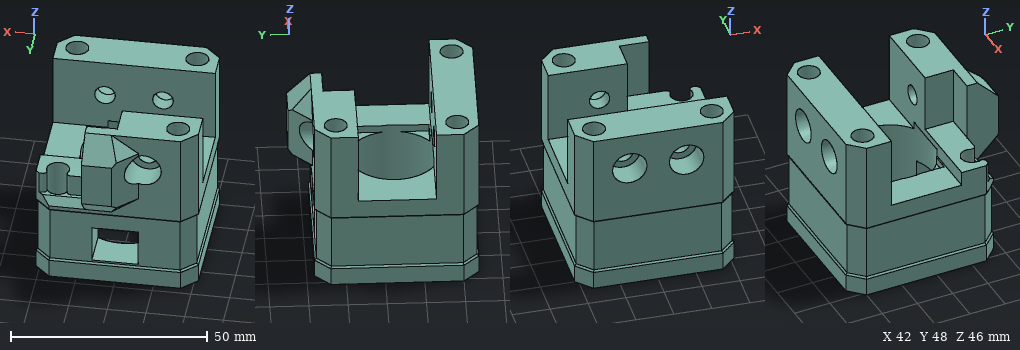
import cadquery as cq
import math

WIDTH = 42.0
HALF = WIDTH / 2
HEIGHT = 46.0
CORNER_CUT = 4.0
WAIST_INSET = 0.5
BASE_TOP = 5.45
HEAD_BOTTOM = 20.5

SLOT_WIDTH = 19.95
SLOT_FLOOR = 25.95
BORE_DIAMETER = 24.0
BORE_TOP = 28.0
RECESS_REACH = 11.75
RECESS_WIDTH = 19.1
RECESS_DEPTH = 2.0

STEP_X = -0.2
STEP_TOP = 29.9
PLATE_INNER_Y = 18.0
PLATE_END_X = 7.7
LEDGE_TOP = 24.0
LEDGE_BEVEL = 1.95
RELIEF_RADIUS = 1.0
EDGE_SEARCH_MARGIN = 0.05

BOSS_DEPTH = 6.0
BOSS_BACK_Y = HALF + BOSS_DEPTH
BOSS_BOTTOM = 22.0
BOSS_SIDE_BEVEL = 5.0

SCREW_OFFSET = 15.5
SCREW_DIAMETER = 3.3
SCREW_HEAD_DIAMETER = 5.8
SCREW_SEAT = BASE_TOP - WAIST_INSET

BEARING_X = 7.5
BEARING_Z = 36.0
BEARING_DIAMETER = 9.0
BEARING_DEPTH = 7.0
PIN_DIAMETER = 5.3

WINDOW_WIDTH = 12.0
WINDOW_BOTTOM = 6.0
WINDOW_TOP = 16.05


def box(x0, x1, y0, y1, z0, z1):
    """Box between two corners."""
    return cq.Workplane("XY").box(x1 - x0, y1 - y0, z1 - z0, centered=False).translate((x0, y0, z0))


def column(z0, z1, inset=0):
    """Square column with cut corners, every side moved inwards by the inset."""
    cut = CORNER_CUT - inset * (2 - math.sqrt(2))
    side = WIDTH - 2 * inset
    return cq.Workplane("XY").workplane(offset=z0).rect(side, side).extrude(z1 - z0).edges("|Z").chamfer(cut)


def make_body():
    base = column(0, BASE_TOP).faces(">Z").chamfer(WAIST_INSET)
    head = column(HEAD_BOTTOM, HEIGHT).faces("<Z").chamfer(WAIST_INSET)
    return base.union(column(BASE_TOP, HEAD_BOTTOM, WAIST_INSET)).union(head)


def beveled_bar(outward, along, bevel):
    """Long bar whose outer face passes through the boss apex, beveled at 45 degrees above and below."""
    face = cq.Plane(origin=(STEP_X, BOSS_BACK_Y, 0), xDir=outward, normal=along)
    profile = [
        (-WIDTH, BOSS_BOTTOM),
        (-bevel, BOSS_BOTTOM),
        (0, BOSS_BOTTOM + bevel),
        (0, HEIGHT - bevel),
        (-bevel, HEIGHT),
        (-WIDTH, HEIGHT),
    ]
    return cq.Workplane(face).polyline(profile).close().extrude(WIDTH, both=True)


def make_boss():
    rear = beveled_bar((0, 1, 0), (1, 0, 0), BOSS_DEPTH)
    slanted_side = beveled_bar((-1, 1, 0), (1, 1, 0), BOSS_SIDE_BEVEL)
    envelope = box(-HALF, PLATE_END_X, PLATE_INNER_Y, BOSS_BACK_Y, BOSS_BOTTOM, HEIGHT)
    return envelope.intersect(rear).intersect(slanted_side)


def make_slot():
    return box(-HALF, HALF, -SLOT_WIDTH / 2, SLOT_WIDTH / 2, SLOT_FLOOR, HEIGHT)


def make_bore():
    bore = cq.Workplane("XY").circle(BORE_DIAMETER / 2).extrude(BORE_TOP)
    recess = box(0, RECESS_REACH, -RECESS_WIDTH / 2, RECESS_WIDTH / 2, SLOT_FLOOR - RECESS_DEPTH, SLOT_FLOOR)
    return bore.union(recess)


def make_step():
    """Space above the lowered rear wall, leaving a thin plate behind it."""
    return box(STEP_X, HALF, SLOT_WIDTH / 2, PLATE_INNER_Y, STEP_TOP, HEIGHT)


def make_ledge():
    """Space behind the lowered rear wall, beyond the plate, with a sloping rear edge."""
    profile = [
        (PLATE_INNER_Y, HEIGHT),
        (PLATE_INNER_Y, LEDGE_TOP),
        (HALF - LEDGE_BEVEL, LEDGE_TOP),
        (HALF, LEDGE_TOP - LEDGE_BEVEL),
        (HALF, HEIGHT),
    ]
    return cq.Workplane("YZ").workplane(offset=PLATE_END_X).polyline(profile).close().extrude(HALF - PLATE_END_X)


def make_screw_holes():
    spacing = 2 * SCREW_OFFSET
    corners = cq.Workplane("XY").rect(spacing, spacing, forConstruction=True).vertices()
    shanks = corners.circle(SCREW_DIAMETER / 2).extrude(HEIGHT)
    heads = corners.circle(SCREW_HEAD_DIAMETER / 2).extrude(HEIGHT - SCREW_SEAT)
    return shanks.union(heads.translate((0, 0, SCREW_SEAT)))


def cylinder_along_y(diameter, x, y0, y1):
    plane = cq.Plane(origin=(x, y0, BEARING_Z), xDir=(1, 0, 0), normal=(0, 1, 0))
    return cq.Workplane(plane).circle(diameter / 2).extrude(y1 - y0)


def make_bearing_holes():
    """Two holes through the front wall; the -X one continues through the rear wall."""
    holes = cylinder_along_y(PIN_DIAMETER, -BEARING_X, -HALF, HALF)
    holes = holes.union(cylinder_along_y(PIN_DIAMETER, BEARING_X, -HALF, 0))
    for x in (-BEARING_X, BEARING_X):
        holes = holes.union(cylinder_along_y(BEARING_DIAMETER, x, -HALF, BEARING_DEPTH - HALF))
    return holes.union(cylinder_along_y(BEARING_DIAMETER, -BEARING_X, HALF - BEARING_DEPTH, BOSS_BACK_Y))


def make_window():
    return box(-WINDOW_WIDTH / 2, WINDOW_WIDTH / 2, 0, HALF, WINDOW_BOTTOM, WINDOW_TOP)


def round_relief(part):
    """Round the edges where the screw head clearance breaks out of the lowered rear wall."""
    reach = SCREW_HEAD_DIAMETER / 2
    around = cq.selectors.BoxSelector(
        (SCREW_OFFSET - reach, PLATE_INNER_Y - EDGE_SEARCH_MARGIN, LEDGE_TOP),
        (SCREW_OFFSET + reach, PLATE_INNER_Y + EDGE_SEARCH_MARGIN, STEP_TOP),
    )
    return part.edges("|Z").edges(around).fillet(RELIEF_RADIUS)


result = make_body().cut(make_slot()).cut(make_step()).cut(make_ledge())
result = result.union(make_boss())
result = result.cut(make_bore()).cut(make_window())
result = result.cut(make_screw_holes()).cut(make_bearing_holes())
result = round_relief(result)